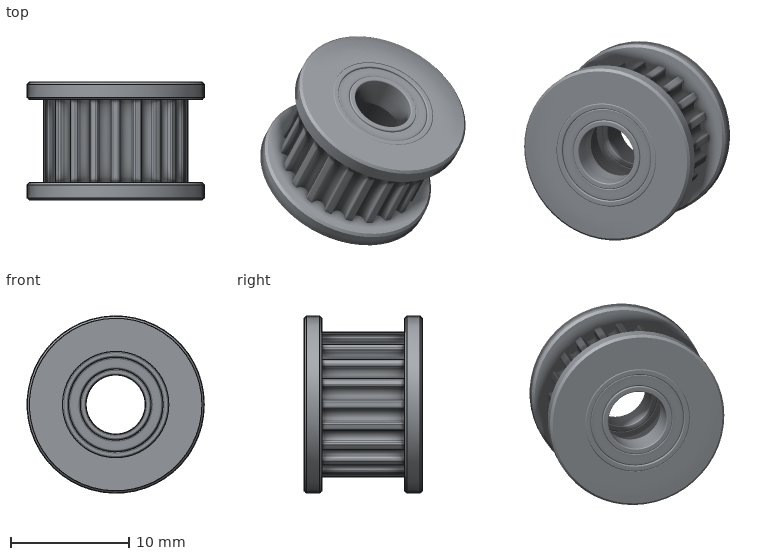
import cadquery as cq
import math

FLANGE_RADIUS = 7.5
PULLEY_WIDTH = FLANGE_RADIUS * 4 / 3
FLANGE_WIDTH = 1.5
DRUM_WIDTH = PULLEY_WIDTH - 2 * FLANGE_WIDTH

TOOTH_COUNT = 20
TOOTH_PITCH = 360 / TOOTH_COUNT
TOOTH_TIP_RADIUS = 6.12
GROOVE_DEPTH = 0.75
GROOVE_RADIUS = 0.55
FLANK_RADIUS = 1.0
FLANK_OFFSET = 0.4
TOOTH_ROUND = 0.15

BORE_RADIUS = FLANGE_RADIUS / 3
BEARING_RADIUS = 4.5
BEARING_WIDTH = 3.0
INNER_RING_RADIUS = 3.0
OUTER_RING_RADIUS = INNER_RING_RADIUS * 4 / 3
BEARING_ROUND = 0.1
SHIELD_RECESS = BEARING_ROUND

FLANGE_CHAMFER = 2 * BEARING_ROUND

SHOULDER_RADIUS = (INNER_RING_RADIUS + OUTER_RING_RADIUS) / 2

FRONT_Y = -PULLEY_WIDTH / 2
DRUM_Y = FRONT_Y + FLANGE_WIDTH
BACK_FLANGE_Y = PULLEY_WIDTH / 2 - FLANGE_WIDTH
BACK_BEARING_Y = PULLEY_WIDTH / 2 - BEARING_WIDTH


def cylinder(radius, y_start, width):
    """Solid cylinder on the Y axis, running from y_start towards +Y."""
    return cq.Workplane("XZ", origin=(0, y_start, 0)).circle(radius).extrude(-width)


def flange(y_start):
    """Disc with both rims chamfered."""
    return cylinder(FLANGE_RADIUS, y_start, FLANGE_WIDTH).edges().chamfer(FLANGE_CHAMFER)


def point_at(center, radius, angle):
    """Point at the given angle and radius around a center, as (x, z)."""
    return (center[0] + radius * math.cos(angle), center[1] + radius * math.sin(angle))


def mirrored(point):
    """The same point on the other flank of the groove at +X."""
    return (point[0], -point[1])


def belt_groove():
    """Cutter for the groove at +X: round bottom, two wider flank arcs and rounded tooth tips."""
    axis = (0, 0)
    bottom = (TOOTH_TIP_RADIUS - GROOVE_DEPTH, 0)

    center_distance = FLANK_RADIUS - GROOVE_RADIUS
    flank_rise = math.sqrt(center_distance**2 - FLANK_OFFSET**2)
    flank_center = (bottom[0] + GROOVE_RADIUS + flank_rise, -FLANK_OFFSET)
    flank_start_angle = math.atan2(FLANK_OFFSET, -flank_rise)

    round_distance = TOOTH_TIP_RADIUS - TOOTH_ROUND
    touch_distance = FLANK_RADIUS + TOOTH_ROUND
    flank_distance = math.hypot(*flank_center)
    angle_between = math.acos(
        (round_distance**2 + flank_distance**2 - touch_distance**2)
        / (2 * round_distance * flank_distance)
    )
    tip_angle = math.atan2(flank_center[1], flank_center[0]) + angle_between
    round_center = point_at(axis, round_distance, tip_angle)
    flank_end_angle = math.atan2(
        round_center[1] - flank_center[1], round_center[0] - flank_center[0]
    )

    flank_start = point_at(flank_center, FLANK_RADIUS, flank_start_angle)
    flank_middle = point_at(flank_center, FLANK_RADIUS, (flank_start_angle + flank_end_angle) / 2)
    flank_end = point_at(flank_center, FLANK_RADIUS, flank_end_angle)
    round_middle_angle = (flank_end_angle - math.pi + tip_angle) / 2
    round_middle = point_at(round_center, TOOTH_ROUND, round_middle_angle)
    tip = point_at(axis, TOOTH_TIP_RADIUS, tip_angle)
    outside = (TOOTH_TIP_RADIUS + TOOTH_ROUND, tip[1])

    return (
        cq.Workplane("XZ", origin=(0, DRUM_Y, 0))
        .moveTo(*mirrored(flank_start))
        .threePointArc(bottom, flank_start)
        .threePointArc(flank_middle, flank_end)
        .threePointArc(round_middle, tip)
        .lineTo(*outside)
        .lineTo(*mirrored(outside))
        .lineTo(*mirrored(tip))
        .threePointArc(mirrored(round_middle), mirrored(flank_end))
        .threePointArc(mirrored(flank_middle), mirrored(flank_start))
        .close()
        .extrude(-DRUM_WIDTH)
    )


def toothed_drum():
    """Drum with a tooth centered on +X, and a groove half a pitch to either side of it."""
    drum = cylinder(TOOTH_TIP_RADIUS, DRUM_Y, DRUM_WIDTH)
    groove = belt_groove()
    for index in range(TOOTH_COUNT):
        angle = index * TOOTH_PITCH + TOOTH_PITCH / 2
        drum = drum.cut(groove.rotate((0, 0, 0), (0, 1, 0), angle))
    return drum


def make_pulley():
    """Toothed drum between two flanges, with a bearing seat in each end and a shoulder between."""
    body = toothed_drum().union(flange(FRONT_Y)).union(flange(BACK_FLANGE_Y))
    body = body.cut(cylinder(SHOULDER_RADIUS, FRONT_Y, PULLEY_WIDTH))
    for seat_y in (FRONT_Y, BACK_BEARING_Y):
        body = body.cut(cylinder(BEARING_RADIUS, seat_y, BEARING_WIDTH))
    return body


def ring(inner_radius, outer_radius, y_start, width):
    """Ring with all four rims rounded."""
    blank = cylinder(outer_radius, y_start, width)
    blank = blank.cut(cylinder(inner_radius, y_start, width))
    return blank.edges("%CIRCLE").fillet(BEARING_ROUND)


def make_bearing(y_start):
    """Inner ring, shield and outer ring in one, with the shield sunk slightly into both faces."""
    inner_ring = ring(BORE_RADIUS, INNER_RING_RADIUS, y_start, BEARING_WIDTH)
    outer_ring = ring(OUTER_RING_RADIUS, BEARING_RADIUS, y_start, BEARING_WIDTH)
    shield_width = BEARING_WIDTH - 2 * SHIELD_RECESS
    shield = ring(INNER_RING_RADIUS, OUTER_RING_RADIUS, y_start + SHIELD_RECESS, shield_width)
    return inner_ring.union(shield).union(outer_ring)


pulley = make_pulley()
bearings = [make_bearing(y_start) for y_start in (FRONT_Y, BACK_BEARING_Y)]

result = cq.Compound.makeCompound([pulley.val(), *[bearing.val() for bearing in bearings]])